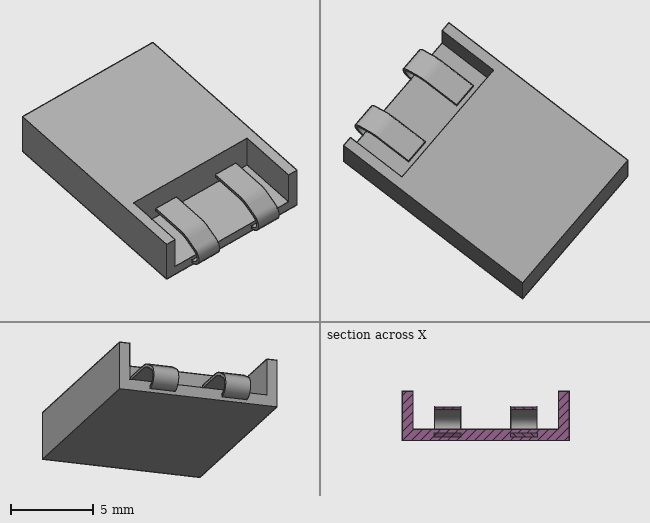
import cadquery as cq
import math

total_length = 14.7
width = 10.15
height = 3.0
housing_length = 14.0

pocket_start = 9.97
side_wall = 0.66
floor_z = 0.69

contact_width = 1.6
contact_pitch = 4.63
thickness = 0.19
tongue_start = 10.5
bend_start = 12.85
bend_width = 0.76
ramp_angle = math.radians(26.5)
curl_radius = total_length - housing_length
foot_z = 0.24

curl_x = housing_length
curl_z = foot_z + curl_radius
bend_radius = bend_width / math.sin(ramp_angle)
bend_z = (
    curl_z
    + (curl_x - bend_start) * math.tan(ramp_angle)
    + (curl_radius - bend_radius) / math.cos(ramp_angle)
)

contact_centers = [-contact_pitch / 2, contact_pitch / 2]


def arc_point(x, z, radius, angle):
    """Point on an arc, with the angle measured from +Z towards +X."""
    return (x + radius * math.sin(angle), z + radius * math.cos(angle))


def make_contact(center_y):
    """Bent strip of constant thickness, extruded across its width."""
    bend_inner = bend_radius - thickness
    curl_inner = curl_radius - thickness
    curl_middle = (ramp_angle + math.pi) / 2

    def bend(radius, angle):
        return arc_point(bend_start, bend_z, radius, angle)

    def curl(radius, angle):
        return arc_point(curl_x, curl_z, radius, angle)

    return (
        cq.Workplane("XZ", origin=(0, center_y, 0))
        .moveTo(tongue_start, bend_z + bend_radius)
        .lineTo(*bend(bend_radius, 0))
        .threePointArc(bend(bend_radius, ramp_angle / 2), bend(bend_radius, ramp_angle))
        .lineTo(*curl(curl_radius, ramp_angle))
        .threePointArc(curl(curl_radius, curl_middle), curl(curl_radius, math.pi))
        .lineTo(tongue_start, foot_z)
        .lineTo(tongue_start, foot_z + thickness)
        .lineTo(*curl(curl_inner, math.pi))
        .threePointArc(curl(curl_inner, curl_middle), curl(curl_inner, ramp_angle))
        .lineTo(*bend(bend_inner, ramp_angle))
        .threePointArc(bend(bend_inner, ramp_angle / 2), bend(bend_inner, 0))
        .lineTo(tongue_start, bend_z + bend_inner)
        .close()
        .extrude(contact_width / 2, both=True)
    )


def make_foot_slot(center_y):
    """Slot below the pocket floor that receives a contact foot."""
    return (
        cq.Workplane("XY")
        .box(housing_length - tongue_start, contact_width, thickness, centered=(False, True, False))
        .translate((tongue_start, center_y, foot_z))
    )


def make_housing():
    """Block with the open pocket and one slot for each contact foot."""
    body = cq.Workplane("XY").box(housing_length, width, height, centered=(False, True, False))
    pocket = (
        cq.Workplane("XY")
        .box(
            housing_length - pocket_start,
            width - 2 * side_wall,
            height - floor_z,
            centered=(False, True, False),
        )
        .translate((pocket_start, 0, floor_z))
    )
    body = body.cut(pocket)
    for center_y in contact_centers:
        body = body.cut(make_foot_slot(center_y))
    return body


housing = make_housing()
contacts = [make_contact(center_y) for center_y in contact_centers]

result = cq.Compound.makeCompound([housing.val(), *[contact.val() for contact in contacts]])